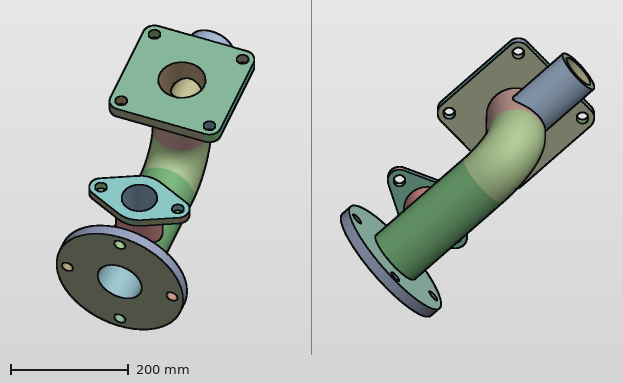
import cadquery as cq

pipe_od = 100.0
pipe_bore = 80.0
bend_radius = 75.0
riser_y = 300.0
riser_top_z = 200.0

bolt_hole = 20.0
flange_thickness = 20.0
round_flange_diameter = 230.0
round_bolt_circle = 190.0
round_bolt_count = 4
square_side = 200.2
square_corner_radius = 20.0
square_hole_pitch = 160.0

branch_od = 80.0
branch_bore = 60.0
branch_y = 95.0
branch_top_z = 115.0
oval_thickness = 15.0
oval_hole_pitch = 139.7
oval_centre_radius = pipe_od / 2
oval_end_radius = 20.0

outlet_od = 80.0
outlet_bore = 60.0
outlet_end_y = 445.0
outlet_z = 130.0

front_plane = cq.Plane(origin=(0, 0, 0), xDir=(1, 0, 0), normal=(0, 1, 0))
outlet_plane = cq.Plane(origin=(0, riser_y, outlet_z), xDir=(1, 0, 0), normal=(0, 1, 0))


def bent_pipe(diameter):
    """Solid rod following the main pipe's centreline."""
    straight_end_y = riser_y - bend_radius
    run = cq.Workplane(front_plane).circle(diameter / 2).extrude(straight_end_y)
    elbow = (
        cq.Workplane(front_plane)
        .workplane(offset=straight_end_y)
        .circle(diameter / 2)
        .revolve(90, (-4.5, -bend_radius, 0), (4.5, -bend_radius, 0))
    )
    riser = (
        cq.Workplane("XY", origin=(0, riser_y, bend_radius))
        .circle(diameter / 2)
        .extrude(riser_top_z - bend_radius)
    )
    return run.union(elbow).union(riser)


def branch_rod(diameter):
    return cq.Workplane("XY", origin=(0, branch_y, 0)).circle(diameter / 2).extrude(branch_top_z)


def outlet_rod(diameter):
    return cq.Workplane(outlet_plane).circle(diameter / 2).extrude(outlet_end_y - riser_y)


def round_flange():
    return (
        cq.Workplane(front_plane)
        .circle(round_flange_diameter / 2)
        .extrude(flange_thickness)
        .faces("<Y")
        .workplane()
        .polarArray(round_bolt_circle / 2, 0, 360, round_bolt_count)
        .hole(bolt_hole)
    )


def square_flange():
    return (
        cq.Workplane("XY", origin=(0, riser_y, riser_top_z - flange_thickness))
        .rect(square_side, square_side)
        .extrude(flange_thickness)
        .edges("|Z")
        .fillet(square_corner_radius)
        .faces(">Z")
        .workplane()
        .rect(square_hole_pitch, square_hole_pitch, forConstruction=True)
        .vertices()
        .hole(bolt_hole)
    )


def oval_flange():
    """Two-bolt flange: a large centre arc joined to two small end arcs by tangent lines."""
    ear_x = oval_hole_pitch / 2
    normal_x = (oval_centre_radius - oval_end_radius) / ear_x
    normal_y = (1 - normal_x**2) ** 0.5
    centre_x = oval_centre_radius * normal_x
    centre_y = oval_centre_radius * normal_y
    end_x = ear_x + oval_end_radius * normal_x
    end_y = oval_end_radius * normal_y
    tip_x = ear_x + oval_end_radius
    return (
        cq.Workplane("XY", origin=(0, branch_y, branch_top_z - oval_thickness))
        .moveTo(centre_x, centre_y)
        .lineTo(end_x, end_y)
        .threePointArc((tip_x, 0), (end_x, -end_y))
        .lineTo(centre_x, -centre_y)
        .threePointArc((0, -oval_centre_radius), (-centre_x, -centre_y))
        .lineTo(-end_x, -end_y)
        .threePointArc((-tip_x, 0), (-end_x, end_y))
        .lineTo(-centre_x, centre_y)
        .threePointArc((0, oval_centre_radius), (centre_x, centre_y))
        .close()
        .extrude(oval_thickness)
        .faces(">Z")
        .workplane(origin=(0, branch_y, branch_top_z))
        .pushPoints([(-ear_x, 0), (ear_x, 0)])
        .hole(bolt_hole)
    )


body = bent_pipe(pipe_od).union(branch_rod(branch_od)).union(outlet_rod(outlet_od))
body = body.union(round_flange()).union(square_flange()).union(oval_flange())
result = body.cut(bent_pipe(pipe_bore)).cut(branch_rod(branch_bore)).cut(outlet_rod(outlet_bore))